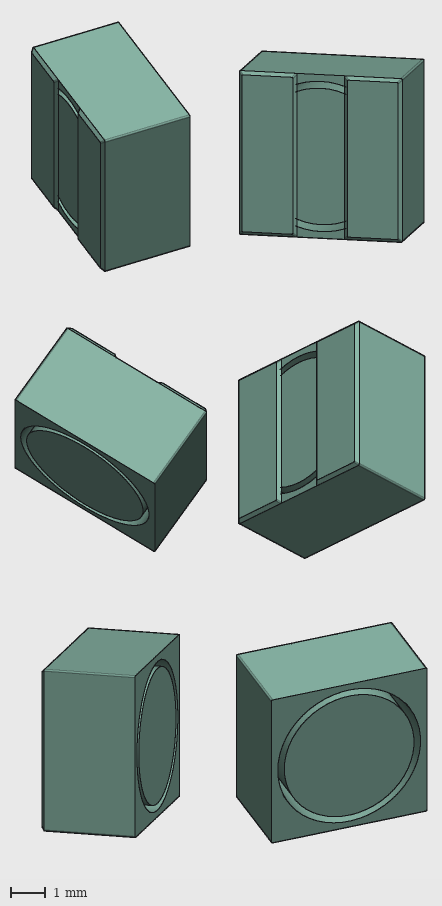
import cadquery as cq

width = 4.8
height = 4.8
depth = 2.8
corner_radius = 0.05

pad_width = 1.7
pad_thickness = 0.1
pad_bevel = 0.1
ridge_radius = corner_radius

gap_outer_diameter = 4.4
gap_inner_diameter = 4.0

back_y = depth / 2
housing_depth = depth - pad_thickness
housing_front_y = back_y - housing_depth


def rounded_block(length):
    """Block running from the back face toward -Y, with its four long edges rounded."""
    return (
        cq.Workplane("XZ", origin=(0, back_y, 0))
        .rect(width, height)
        .extrude(length)
        .edges("|Y")
        .fillet(corner_radius)
    )


def ring_gap():
    """Annular slot open at the back and at the recessed strip."""
    return (
        cq.Workplane("XZ", origin=(0, back_y, 0))
        .circle(gap_outer_diameter / 2)
        .circle(gap_inner_diameter / 2)
        .extrude(housing_depth)
    )


def terminal_pad(side):
    """Pad along one side edge, bevelled on all four sides down to the housing, with rounded corner ridges."""
    pad_x = side * (width - pad_width) / 2
    pad = (
        cq.Workplane("XZ", origin=(pad_x, housing_front_y, 0))
        .rect(pad_width, height)
        .workplane(offset=pad_thickness)
        .rect(pad_width - 2 * pad_bevel, height - 2 * pad_bevel)
        .loft(ruled=True)
        .edges("not #Y")
        .fillet(ridge_radius)
    )
    return pad.intersect(rounded_block(depth))


result = rounded_block(housing_depth).cut(ring_gap())
for side in (-1, 1):
    result = result.union(terminal_pad(side))